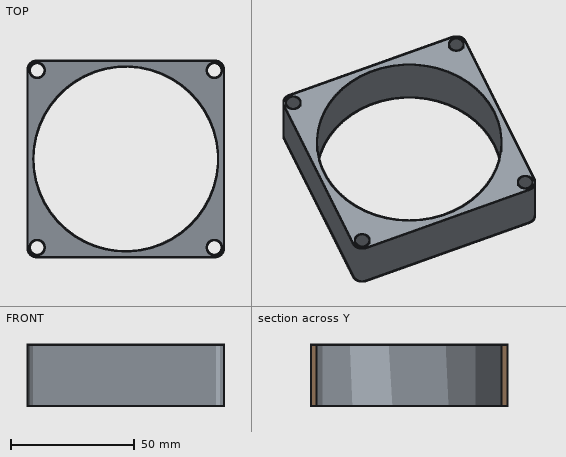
import cadquery as cq

side = 80.0
height = 25.0
corner_radius = 4.0

bore_diameter = 75.0
screw_hole_diameter = 6.0
screw_hole_spacing = side - 2 * corner_radius

frame = cq.Workplane("XY").box(side, side, height).edges("|Z").fillet(corner_radius)

frame = frame.faces(">Z").workplane().hole(bore_diameter)

result = (
    frame.faces(">Z")
    .workplane(origin=(0, 0, 0))
    .rect(screw_hole_spacing, screw_hole_spacing, forConstruction=True)
    .vertices()
    .hole(screw_hole_diameter)
)